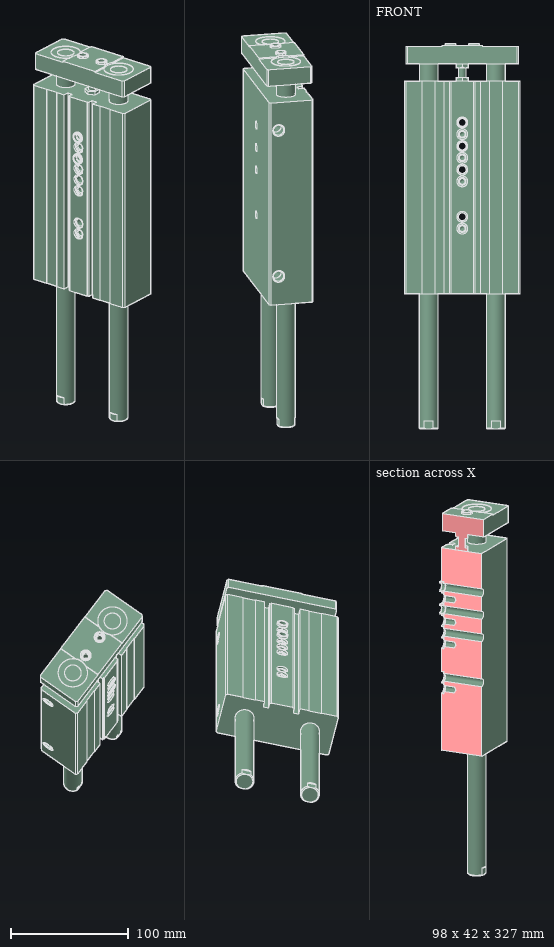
import cadquery as cq
import math


HOUSING_WIDTH = 98.0
HOUSING_DEPTH = 38.2
HOUSING_BOTTOM = 114.7
HOUSING_TOP = 295.0
HOUSING_CHAMFER = 1.3
HOUSING_FRONT = -HOUSING_DEPTH / 2

GROOVE_OUTER_X = 15.5
GROOVE_INNER_X = 10.8
GROOVE_DEPTH = 5.2
GROOVE_STEP_WIDTH = 1.3
GROOVE_STEP_DEPTH = 0.5
BAND_INNER_X = 23.2
BAND_OUTER_X = 34.0
BAND_DEPTH = 0.3

HOLE_ROW_LENGTH = 90.0
TOP_HOLE_Z = 260.0
THROUGH_HOLE_STEPS = (0, 2, 4, 8)
THREAD_HOLE_STEPS = (1, 3, 5, 9)
SLEEVED_HOLE_STEPS = (0, 2)
HOLE_PITCH = HOLE_ROW_LENGTH / max(THREAD_HOLE_STEPS)
THROUGH_HOLE_DIAMETER = 6.5
THREAD_HOLE_DIAMETER = 5.0
THREAD_MOUTH_DIAMETER = 6.5
THREAD_HOLE_DEPTH = 12.0
DRILL_TIP_ANGLE = 118.0

PORT_DIAMETER = 8.8
PORT_DEPTH = 9.8
PORT_Y = 11.0
PORT_HEIGHTS = (140.0, 270.0)
PORT_MOUTH_DIAMETER = 10.5

YOKE_WIDTH = 95.5
YOKE_BACK = 21.0
YOKE_FRONT = -18.3
YOKE_BOTTOM = 309.5
YOKE_TOP = 324.3
YOKE_CHAMFER = 1.3
PAD_WIDTH = 34.5
PAD_TOP = 325.3

SLEEVE_DIAMETER = 9.0
SLEEVE_BORE = 6.5
SLEEVE_CHAMFER = 0.3
SLEEVE_SEAT_DEPTH = 2.0
SLEEVE_FRONT = -21.0
SLEEVE_TOP = 327.0
YOKE_SLEEVE_X = HOLE_PITCH

ROD_DIAMETER = 16.0
ROD_X = 28.5
ROD_CHAMFER = 1.0
ROD_FLAT_DEPTH = 1.0
ROD_FLAT_HEIGHT = 7.0
ROD_NECK_DIAMETER = 14.0
ROD_RECESS_DIAMETER = 25.0
ROD_RECESS_DEPTH = 0.3
ROD_NECK_RECESS = 0.3
ROD_RECESS_FLOOR = YOKE_TOP - ROD_RECESS_DEPTH
ROD_NECK_TOP = ROD_RECESS_FLOOR - ROD_NECK_RECESS

PISTON_ROD_DIAMETER = 6.5
HEX_CORNER_DIAMETER = 12.0
NUT_HEIGHT = 3.5
NUT_CHAMFER = 1.0
SPANNER_HEX_HEIGHT = 3.0


def cylinder(diameter, length, start, axis):
    """Cylinder that begins at a point and runs along a direction."""
    return cq.Workplane(cq.Solid.makeCylinder(diameter / 2, length, cq.Vector(*start), cq.Vector(*axis)))


def drilled_hole(diameter, depth, start, axis):
    """Blind hole with the conical end that a drill leaves."""
    tip_length = diameter / 2 / math.tan(math.radians(DRILL_TIP_ANGLE / 2))
    direction = cq.Vector(*axis)
    tip_start = cq.Vector(*start) + direction * depth
    tip = cq.Solid.makeCone(diameter / 2, 0, tip_length, tip_start, direction)
    return cylinder(diameter, depth, start, axis).union(cq.Workplane(tip))


def countersink(mouth_diameter, hole_diameter, start, axis):
    """45 degree cone that widens the mouth of a hole."""
    depth = (mouth_diameter - hole_diameter) / 2
    mouth = cq.Vector(*start)
    cone = cq.Solid.makeCone(mouth_diameter / 2, hole_diameter / 2, depth, mouth, cq.Vector(*axis))
    return cq.Workplane(cone)


def block(x_range, y_range, z_range):
    """Box between two limits on each axis."""
    (x0, x1), (y0, y1), (z0, z1) = x_range, y_range, z_range
    return cq.Workplane(cq.Solid.makeBox(x1 - x0, y1 - y0, z1 - z0, cq.Vector(x0, y0, z0)))


def front_hole_z(step):
    """Height of a front hole, counted in pitches down from the top hole."""
    return TOP_HOLE_Z - step * HOLE_PITCH


def groove_cutter():
    """Groove and shallow band on the +X half of the housing front."""
    groove_floor = HOUSING_FRONT + GROOVE_DEPTH
    step_floor = HOUSING_FRONT + GROOVE_STEP_DEPTH
    outline = [
        (GROOVE_INNER_X - GROOVE_STEP_WIDTH, HOUSING_FRONT),
        (GROOVE_OUTER_X, HOUSING_FRONT),
        (GROOVE_OUTER_X, groove_floor),
        (GROOVE_INNER_X, groove_floor),
        (GROOVE_INNER_X, step_floor),
        (GROOVE_INNER_X - GROOVE_STEP_WIDTH, step_floor),
    ]
    length = HOUSING_TOP - HOUSING_BOTTOM
    groove = cq.Workplane("XY").workplane(offset=HOUSING_BOTTOM).polyline(outline).close().extrude(length)
    band = block(
        (BAND_INNER_X, BAND_OUTER_X),
        (HOUSING_FRONT, HOUSING_FRONT + BAND_DEPTH),
        (HOUSING_BOTTOM, HOUSING_TOP),
    )
    return groove.union(band)


def make_housing():
    half_width = HOUSING_WIDTH / 2
    housing = block(
        (-half_width, half_width),
        (HOUSING_FRONT, -HOUSING_FRONT),
        (HOUSING_BOTTOM, HOUSING_TOP),
    )
    housing = housing.edges("|Z").chamfer(HOUSING_CHAMFER)

    grooves = groove_cutter()
    housing = housing.cut(grooves).cut(grooves.mirror("YZ"))

    for x in (-ROD_X, ROD_X):
        bore = cylinder(ROD_DIAMETER, HOUSING_TOP - HOUSING_BOTTOM, (x, 0, HOUSING_BOTTOM), (0, 0, 1))
        housing = housing.cut(bore)

    for step in THROUGH_HOLE_STEPS + THREAD_HOLE_STEPS:
        start = (0, HOUSING_FRONT, front_hole_z(step))
        housing = housing.cut(cylinder(SLEEVE_DIAMETER, SLEEVE_SEAT_DEPTH, start, (0, 1, 0)))
        if step in THROUGH_HOLE_STEPS:
            hole = cylinder(THROUGH_HOLE_DIAMETER, HOUSING_DEPTH, start, (0, 1, 0))
        else:
            hole = drilled_hole(THREAD_HOLE_DIAMETER, THREAD_HOLE_DEPTH, start, (0, 1, 0))
            mouth = (0, HOUSING_FRONT + SLEEVE_SEAT_DEPTH, front_hole_z(step))
            hole = hole.union(countersink(THREAD_MOUTH_DIAMETER, THREAD_HOLE_DIAMETER, mouth, (0, 1, 0)))
        housing = housing.cut(hole)

    for z in PORT_HEIGHTS:
        start = (-half_width, PORT_Y, z)
        housing = housing.cut(drilled_hole(PORT_DIAMETER, PORT_DEPTH, start, (1, 0, 0)))
        housing = housing.cut(countersink(PORT_MOUTH_DIAMETER, PORT_DIAMETER, start, (1, 0, 0)))
    return housing


def hexagon(bottom, height):
    """Hexagonal prism on the piston axis with corners on the Y axis."""
    prism = cq.Workplane("XY").polygon(6, HEX_CORNER_DIAMETER).extrude(height)
    return prism.rotate((0, 0, 0), (0, 0, 1), 90).translate((0, 0, bottom))


def make_piston_rod():
    """Piston rod with its spanner hexagon and lock nut."""
    rod = cylinder(PISTON_ROD_DIAMETER, YOKE_BOTTOM - HOUSING_TOP, (0, 0, HOUSING_TOP), (0, 0, 1))
    nut_bottom = YOKE_BOTTOM - NUT_HEIGHT
    nut_blank = cylinder(HEX_CORNER_DIAMETER, NUT_HEIGHT, (0, 0, nut_bottom), (0, 0, 1))
    nut = hexagon(nut_bottom, NUT_HEIGHT).intersect(nut_blank.faces("<Z").chamfer(NUT_CHAMFER))
    return rod.union(nut).union(hexagon(HOUSING_TOP, SPANNER_HEX_HEIGHT))


def make_yoke():
    """Yoke plate with its raised pad and the piston rod fixed under it."""
    half_width = YOKE_WIDTH / 2
    plate = block((-half_width, half_width), (YOKE_FRONT, YOKE_BACK), (YOKE_BOTTOM, YOKE_TOP))
    plate = plate.edges("|Z").chamfer(YOKE_CHAMFER)
    pad = block((-PAD_WIDTH / 2, PAD_WIDTH / 2), (YOKE_FRONT, YOKE_BACK), (YOKE_TOP, PAD_TOP))
    yoke = plate.union(pad)

    for x in (-ROD_X, ROD_X):
        recess_depth = PAD_TOP - ROD_RECESS_FLOOR
        yoke = yoke.cut(cylinder(ROD_RECESS_DIAMETER, recess_depth, (x, 0, ROD_RECESS_FLOOR), (0, 0, 1)))
        yoke = yoke.cut(cylinder(ROD_NECK_DIAMETER, PAD_TOP - YOKE_BOTTOM, (x, 0, YOKE_BOTTOM), (0, 0, 1)))

    for x in (-YOKE_SLEEVE_X, YOKE_SLEEVE_X):
        start = (x, 0, PAD_TOP)
        yoke = yoke.cut(cylinder(SLEEVE_DIAMETER, SLEEVE_SEAT_DEPTH, start, (0, 0, -1)))
        yoke = yoke.cut(cylinder(THREAD_HOLE_DIAMETER, PAD_TOP - YOKE_BOTTOM, start, (0, 0, -1)))
        mouth = (x, 0, PAD_TOP - SLEEVE_SEAT_DEPTH)
        yoke = yoke.cut(countersink(THREAD_MOUTH_DIAMETER, THREAD_HOLE_DIAMETER, mouth, (0, 0, -1)))
    return yoke.union(make_piston_rod())


def make_guide_rod(x):
    """Guide rod with two spanner flats below and a neck that sits in the yoke."""
    rod = cylinder(ROD_DIAMETER, YOKE_BOTTOM, (x, 0, 0), (0, 0, 1))
    rod = rod.faces("<Z").chamfer(ROD_CHAMFER)
    rod_radius = ROD_DIAMETER / 2
    flat_y = rod_radius - ROD_FLAT_DEPTH
    for y_range in ((-rod_radius, -flat_y), (flat_y, rod_radius)):
        rod = rod.cut(block((x - rod_radius, x + rod_radius), y_range, (0, ROD_FLAT_HEIGHT)))
    neck = cylinder(ROD_NECK_DIAMETER, ROD_NECK_TOP - YOKE_BOTTOM, (x, 0, YOKE_BOTTOM), (0, 0, 1))
    return rod.union(neck)


def make_sleeve(seat_floor, axis, length):
    """Centring sleeve with chamfered ends that stands on its seat floor."""
    sleeve = cylinder(SLEEVE_DIAMETER, length, seat_floor, axis).edges("%CIRCLE").chamfer(SLEEVE_CHAMFER)
    return sleeve.cut(cylinder(SLEEVE_BORE, length, seat_floor, axis))


housing = make_housing()
yoke = make_yoke()
guide_rods = [make_guide_rod(x) for x in (-ROD_X, ROD_X)]

sleeves = []
for step in SLEEVED_HOLE_STEPS:
    seat_floor_y = HOUSING_FRONT + SLEEVE_SEAT_DEPTH
    seat_floor = (0, seat_floor_y, front_hole_z(step))
    sleeves.append(make_sleeve(seat_floor, (0, -1, 0), seat_floor_y - SLEEVE_FRONT))
for x in (-YOKE_SLEEVE_X, YOKE_SLEEVE_X):
    seat_floor_z = PAD_TOP - SLEEVE_SEAT_DEPTH
    sleeves.append(make_sleeve((x, 0, seat_floor_z), (0, 0, 1), SLEEVE_TOP - seat_floor_z))

result = cq.Compound.makeCompound([
    housing.val(),
    yoke.val(),
    *[rod.val() for rod in guide_rods],
    *[sleeve.val() for sleeve in sleeves],
])